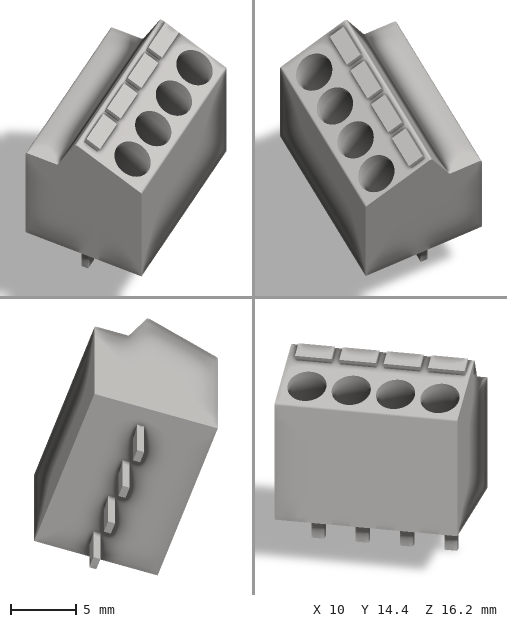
import cadquery as cq
import math

housing_length = 10.0
housing_width = 14.4
shelf_height = 9.23
shelf_length = 2.78
rear_height = 9.62
roof_angle = 26.0
edge_radius = 0.21

pole_count = 4
pole_pitch = 3.5
last_pole_inset = 1.81

entry_diameter = 3.02
entry_x = 8.15
entry_depth = 6.47

button_x = 4.69
button_length = 1.31
button_width = 2.88
button_height = 0.5

pin_x = 4.3
pin_thickness = 0.57
pin_width = 1.0
pin_length = 3.51

slope = math.tan(math.radians(roof_angle))
pole_ys = [housing_width / 2 - last_pole_inset - i * pole_pitch for i in range(pole_count)]


def roof_z(x):
    """Height of the sloping roof at a given X."""
    return rear_height + (housing_length - x) * slope


def roof_plane(x, y):
    """Plane on the roof: local X runs down the slope, local Z points outward."""
    angle = math.radians(roof_angle)
    return cq.Plane(
        origin=(x, y, roof_z(x)),
        xDir=(math.cos(angle), 0, -math.sin(angle)),
        normal=(math.sin(angle), 0, math.cos(angle)),
    )


def make_housing():
    ridge_x = (roof_z(0) - shelf_height + shelf_length / slope) / (slope + 1 / slope)
    profile = [
        (0, 0),
        (housing_length, 0),
        (housing_length, rear_height),
        (ridge_x, roof_z(ridge_x)),
        (shelf_length, shelf_height),
        (0, shelf_height),
    ]
    body = cq.Workplane("XZ").polyline(profile).close().extrude(housing_width / 2, both=True)

    upper_edges = cq.selectors.BoxSelector(
        (-0.16, -housing_width, shelf_height / 2),
        (housing_length + 0.16, housing_width, 2 * shelf_height),
    )
    body = body.edges("|Y").edges(upper_edges).fillet(edge_radius)

    for y in pole_ys:
        entry = cq.Workplane(roof_plane(entry_x, y)).circle(entry_diameter / 2)
        body = body.cut(entry.extrude(-entry_depth))
    return body


def make_button(y):
    return cq.Workplane(roof_plane(button_x, y)).box(
        button_length, button_width, button_height, centered=(False, True, False)
    )


def make_pin(y):
    return cq.Workplane("XY", origin=(pin_x, y, -pin_length)).box(
        pin_thickness, pin_width, pin_length, centered=(True, True, False)
    )


housing = make_housing()
buttons = [make_button(y) for y in pole_ys]
pins = [make_pin(y) for y in pole_ys]

result = cq.Compound.makeCompound(
    [
        housing.val(),
        *[button.val() for button in buttons],
        *[pin.val() for pin in pins],
    ]
)